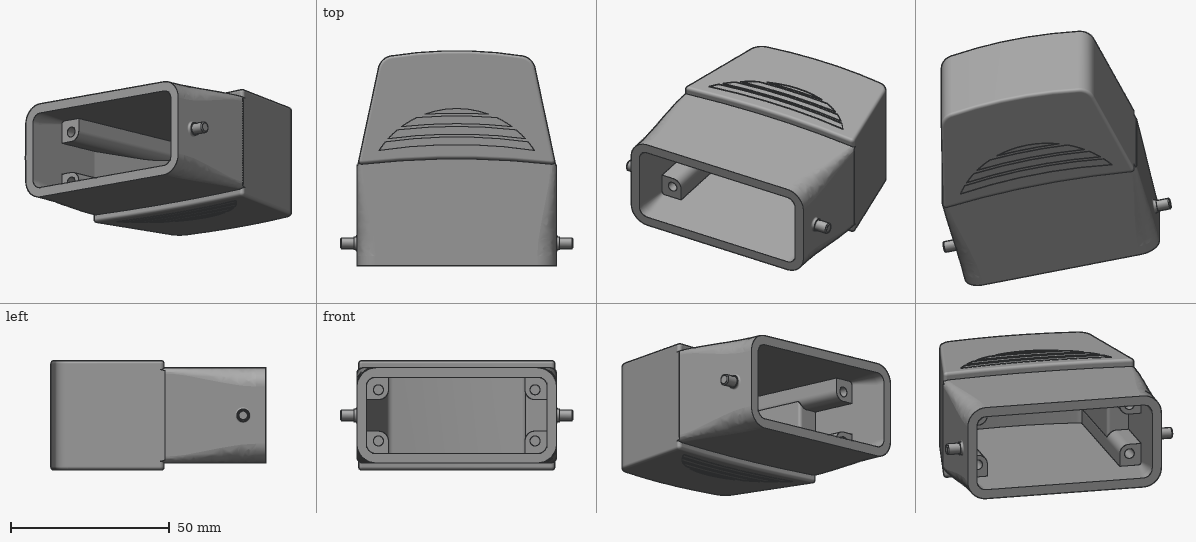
import cadquery as cq
import math


wall = 3.0

skirt_width = 63.0
skirt_height = 30.0
skirt_depth = 31.8
lip_depth = 3.0
lip_corner_radius = 6.0
skirt_end_radius = 2.0
cavity_end_radius = 1.0
skirt_section_count = 7

hood_width = 62.4
hood_height = 34.6
hood_side_angle = 12.0
hood_edge_radius = 1.0
hood_corner_radius = 5.0
hood_rear_y = 67.8
hood_rear_radius = 131.85
hood_front_y = 33.7
hood_front_radius = 265.2

boss_inner_x = 21.5
boss_inner_z = 5.0
boss_front_y = 14.15
boss_corner_radius = 3.0
screw_hole_x = 24.7
screw_hole_z = 8.05
screw_hole_diameter = 3.15
screw_hole_depth = 8.8

peg_span = 73.25
peg_y = 7.1
peg_diameter = 3.45
peg_chamfer = 0.4
collar_diameter = 4.0
collar_length = 0.95
collar_fillet = 0.5

grip_depth = 0.2
grip_count = 4
grip_first_y = 38.2
grip_pitch = 3.3
grip_band_width = 2.4
grip_band_radius = 162.6
grip_outline_radius = 29.3
grip_outline_top_y = 49.6

block_inner_x = 21.6
block_edge_radius = 1.0

side_slope = math.tan(math.radians(hood_side_angle))
cavity_width = skirt_width - 2 * wall
cavity_height = skirt_height - 2 * wall
side_wall_across = wall / math.cos(math.radians(hood_side_angle))
taper_start_y = skirt_depth - (cavity_width / 2 - hood_width / 2 + side_wall_across) / side_slope


def slab(outline, height):
    """Extrude an XY outline symmetrically about Z = 0."""
    return outline.extrude(height / 2, both=True)


def disc(top_y, radius, height):
    """Disc centred on X = 0 whose largest Y is top_y."""
    return slab(cq.Workplane("XY").center(0, top_y - radius).circle(radius), height)


def box_between(x_range, y_range, z_range):
    """Box from its limits along X, Y and Z."""
    size = [limits[1] - limits[0] for limits in (x_range, y_range, z_range)]
    corner = (x_range[0], y_range[0], z_range[0])
    return cq.Workplane("XY").box(*size, centered=False).translate(corner)


def rounded_rectangle(width, height, radius, y):
    """Wire of a rounded rectangle in the plane at depth y."""
    sketch = cq.Sketch().rect(width, height).vertices().fillet(radius)
    plane = cq.Workplane(cq.Plane(origin=(0, y, 0), xDir=(1, 0, 0), normal=(0, -1, 0)))
    return plane.placeSketch(sketch).extrude(-0.7).faces("<Y").wires().val()


def skirt_body():
    """Straight lip, then corners that tighten along an S-curve towards the hood."""
    lip_start = rounded_rectangle(skirt_width, skirt_height, lip_corner_radius, 0)
    sections = []
    for index in range(skirt_section_count):
        t = index / (skirt_section_count - 1)
        ease = t * t * (3 - 2 * t)
        radius = lip_corner_radius + (skirt_end_radius - lip_corner_radius) * ease
        y = lip_depth + (skirt_depth - lip_depth) * t
        sections.append(rounded_rectangle(skirt_width, skirt_height, radius, y))
    lip = cq.Solid.makeLoft([lip_start, sections[0]], True)
    body = cq.Solid.makeLoft(sections, False)
    return cq.Workplane(obj=lip).union(cq.Workplane(obj=body))


def tapered_prism(start_y, inset, height):
    """Hood plan shape moved inward by inset, with a flat front at start_y."""
    rear_y = hood_rear_y - inset
    half_front = (
        hood_width / 2
        - inset / math.cos(math.radians(hood_side_angle))
        - (start_y - skirt_depth) * side_slope
    )
    half_rear = half_front - (rear_y - start_y) * side_slope
    trapezoid = cq.Workplane("XY").polyline(
        [(-half_front, start_y), (half_front, start_y), (half_rear, rear_y), (-half_rear, rear_y)]
    ).close()
    prism = slab(trapezoid, height)
    prism = prism.intersect(disc(rear_y, hood_rear_radius - inset, height))
    rear_corners = prism.edges("|Z").edges(cq.selectors.BoxSelector(
        (-hood_width, (start_y + rear_y) / 2, -height), (hood_width, rear_y + 0.7, height)
    ))
    return prism.newObject(rear_corners.vals()).fillet(hood_corner_radius - inset)


def hood_shell():
    """Outer hood with an arched front edge and softened edges."""
    hood = tapered_prism(skirt_depth - wall, 0, hood_height)
    hood = hood.cut(disc(hood_front_y, hood_front_radius, hood_height))
    front_corners = hood.edges("|Z").edges("<X or >X")
    hood = hood.newObject(front_corners.vals()).fillet(hood_edge_radius)
    return hood.faces("<Z or >Z").edges().fillet(hood_edge_radius)


def neck():
    """Carries the rounded skirt section into the hood, within the hood's tapered sides."""
    section = rounded_rectangle(skirt_width, skirt_height, skirt_end_radius, skirt_depth)
    length = hood_front_y + wall - skirt_depth
    stub = cq.Workplane(obj=cq.Solid.extrudeLinear(section, [], cq.Vector(0, length, 0)))
    return stub.intersect(tapered_prism(skirt_depth - wall, 0, hood_height))


def cavity():
    """Inner space: straight lip, corners tightening up to the bosses, then the hood taper."""
    lip_radius = lip_corner_radius - wall
    stations = [
        (0, lip_radius),
        (lip_depth, lip_radius),
        (boss_front_y, cavity_end_radius),
        (taper_start_y, cavity_end_radius),
    ]
    sections = [rounded_rectangle(cavity_width, cavity_height, radius, y) for y, radius in stations]
    mouth = cq.Workplane(obj=cq.Solid.makeLoft(sections, True))
    return mouth.union(tapered_prism(taper_start_y, wall, cavity_height))


def screw_bosses():
    """Four corner bosses, each with a blind screw hole."""
    outer_x = (skirt_width - wall) / 2
    outer_z = (skirt_height - wall) / 2
    rear_y = hood_rear_y - wall / 2
    boss = box_between((boss_inner_x, outer_x), (boss_front_y, rear_y), (boss_inner_z, outer_z))
    boss = boss.edges("|Y").edges("<X").edges("<Z").fillet(boss_corner_radius)
    hole = cq.Workplane("XZ", origin=(screw_hole_x, boss_front_y, screw_hole_z))
    boss = boss.cut(hole.circle(screw_hole_diameter / 2).extrude(-screw_hole_depth))
    upper = boss.union(boss.mirror("YZ"))
    return upper.union(upper.mirror("XY"))


def peg():
    """Locking peg on the +X side, with a collar flared into the wall."""
    wall_x = skirt_width / 2
    root_x = wall_x - wall / 2
    tip_x = peg_span / 2
    peg_radius = peg_diameter / 2
    collar_radius = collar_diameter / 2
    profile = (
        cq.Workplane("XY")
        .moveTo(root_x, 0)
        .lineTo(root_x, collar_radius + collar_fillet)
        .lineTo(wall_x, collar_radius + collar_fillet)
        .radiusArc((wall_x + collar_fillet, collar_radius), -collar_fillet)
        .lineTo(wall_x + collar_length, collar_radius)
        .lineTo(wall_x + collar_length, peg_radius)
        .lineTo(tip_x - peg_chamfer, peg_radius)
        .lineTo(tip_x, peg_radius - peg_chamfer)
        .lineTo(tip_x, 0)
        .close()
    )
    return profile.revolve(360, (0, 0, 0), (1, 0, 0)).translate((0, peg_y, 0))


def grip_recesses():
    """Shallow arched bands inside a round outline, on the upper and lower hood faces."""
    bands = []
    for index in range(grip_count):
        front_y = grip_first_y + index * grip_pitch
        band = disc(front_y + grip_band_width, grip_band_radius, 2 * grip_depth)
        band = band.cut(disc(front_y, grip_band_radius, 2 * grip_depth))
        band = band.intersect(disc(grip_outline_top_y, grip_outline_radius, 2 * grip_depth))
        for side in (1, -1):
            bands.append(band.translate((0, 0, side * hood_height / 2)))
    return bands


def make_housing():
    """Hood, skirt, screw bosses and locking pegs as one casting."""
    envelope = hood_shell().union(neck()).union(skirt_body())
    housing = envelope.cut(cavity())
    housing = housing.union(screw_bosses().intersect(envelope))
    housing = housing.union(peg()).union(peg().mirror("YZ"))
    for band in grip_recesses():
        housing = housing.cut(band)
    return housing


def make_side_block():
    """Block between the +X bosses that fills the tapering side of the hood cavity."""
    half_height = cavity_height / 2
    blank = box_between(
        (block_inner_x, skirt_width / 2), (taper_start_y, hood_rear_y), (-half_height, half_height)
    )
    blank = blank.edges("|Z").edges("<X").edges("<Y").fillet(block_edge_radius)
    fitted_blank = blank.intersect(cavity())
    return fitted_blank.cut(screw_bosses())


housing = make_housing()
side_block = make_side_block()
result = cq.Compound.makeCompound([*housing.solids().vals(), *side_block.solids().vals()])